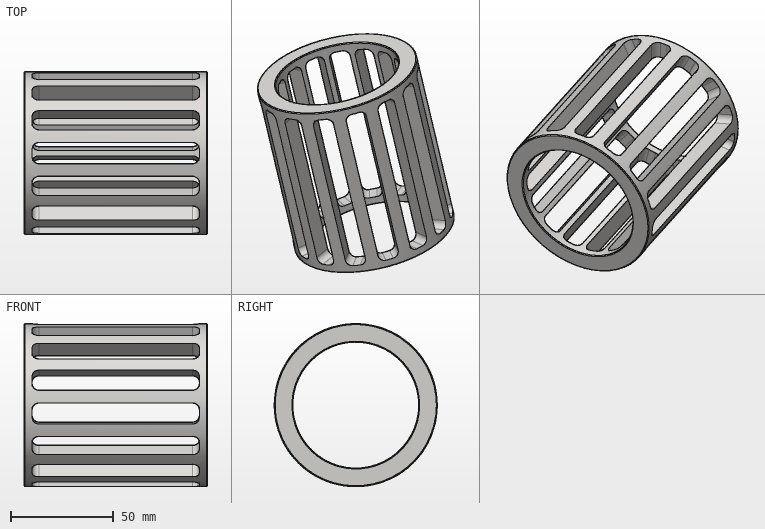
import cadquery as cq

length = 89.0
outer_diameter = 79.2
bore_diameter = 61.1
edge_chamfer = 0.45

slot_count = 15
slot_width = 10.15
end_ring_width = 3.9
slot_corner_radius = 3.2
slot_length = length - 2 * end_ring_width


def make_sleeve():
    """Plain tube with all four end edges chamfered."""
    tube = (
        cq.Workplane("YZ")
        .circle(outer_diameter / 2)
        .circle(bore_diameter / 2)
        .extrude(length / 2, both=True)
    )
    return tube.faces("<X or >X").edges().chamfer(edge_chamfer)


def make_slot_cutter():
    """Round-cornered block reaching from the axis out past the +Z side of the tube."""
    return (
        cq.Workplane("XY")
        .rect(slot_length, slot_width)
        .extrude(outer_diameter)
        .edges("|Z")
        .fillet(slot_corner_radius)
    )


result = make_sleeve()
slot_cutter = make_slot_cutter()
for index in range(slot_count):
    slot_angle = index * 360 / slot_count
    result = result.cut(slot_cutter.rotate((0, 0, 0), (1, 0, 0), slot_angle))